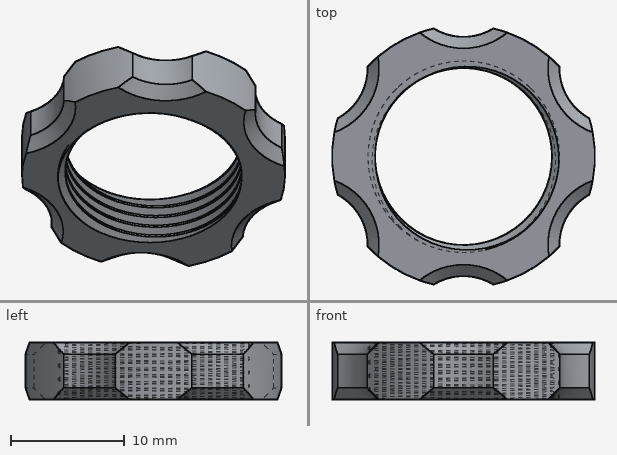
import cadquery as cq
import math

outer_radius = 11.53
height = 5.0

scallop_count = 6
scallop_radius = 5.0
scallop_depth = 1.04
scallop_chamfer = 1.01
scallop_center = outer_radius - scallop_depth + scallop_radius
first_scallop_angle = 30.0

bore_radius = 7.75
pitch = 1.2
root_flat = pitch / 8
groove_mouth = pitch * 4 / 5
thread_depth = 0.65
flank_slope = (groove_mouth - root_flat) / 2 / thread_depth
top_root_angle = -28.0
cutter_overlap = 0.02
turns_below_top = math.ceil(height / pitch) + 1
turns_above_top = 1


def make_body():
    return cq.Workplane("XY").circle(outer_radius).circle(bore_radius).extrude(height)


def make_scallop():
    """Vertical cutter that flares into a cone at both faces."""
    wide_radius = scallop_radius + scallop_chamfer
    profile = [
        (0, 0),
        (wide_radius, 0),
        (scallop_radius, scallop_chamfer),
        (scallop_radius, height - scallop_chamfer),
        (wide_radius, height),
        (0, height),
    ]
    cutter = cq.Workplane("XZ").polyline(profile).close().revolve(360, (0, 0), (0, 1))
    return cutter.translate((scallop_center, 0, 0))


def make_thread_groove():
    """Helical cutter bounded by ruled faces, its root on the top face at top_root_angle."""
    length = (turns_below_top + turns_above_top) * pitch
    inner_radius = bore_radius - cutter_overlap
    root_radius = bore_radius + thread_depth
    half_mouth = groove_mouth / 2 + cutter_overlap * flank_slope
    half_root = root_flat / 2
    corners = [
        (inner_radius, -half_mouth),
        (root_radius, -half_root),
        (root_radius, half_root),
        (inner_radius, half_mouth),
    ]
    edges = [
        cq.Wire.makeHelix(pitch, length, radius).translate(cq.Vector(0, 0, z))
        for radius, z in corners
    ]
    next_edges = edges[1:] + edges[:1]
    faces = [cq.Face.makeRuledSurface(a, b) for a, b in zip(edges, next_edges)]
    for end_z in (0, length):
        end_points = [cq.Vector(radius, 0, z + end_z) for radius, z in corners]
        faces.append(cq.Face.makeFromWires(cq.Wire.makePolygon(end_points, close=True)))
    groove = cq.Workplane(cq.Solid.makeSolid(cq.Shell.makeShell(faces)))
    groove = groove.rotate((0, 0, 0), (0, 0, 1), top_root_angle)
    return groove.translate((0, 0, height - turns_below_top * pitch))


result = make_body()
scallop = make_scallop()
for index in range(scallop_count):
    angle = first_scallop_angle + index * 360 / scallop_count
    result = result.cut(scallop.rotate((0, 0, 0), (0, 0, 1), angle))
result = result.cut(make_thread_groove())